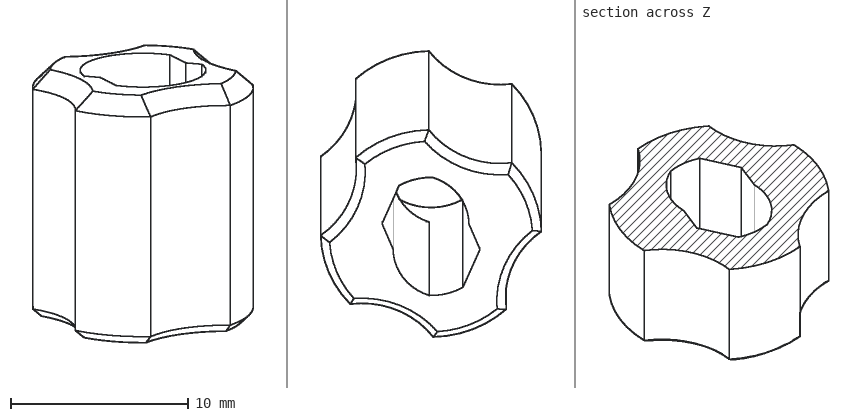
import cadquery as cq
import math

body_diameter = 12.47
body_height = 14.38
scallop_count = 4
scallop_radius = 5.0
scallop_center_distance = 10.0
top_chamfer = 1.0
bottom_chamfer = 0.5
full_turn = 360
scallop_start_angle = full_turn / scallop_count / 2

bore_radius = 7.1 / 2
entry_depth = 2.4
stop_face_distance = 2.85
stop_edge_y = 2.16
neck_half_width = 2.27
lobe_start_y = 0.1
lobe_side = (2.475, -0.9)
lobe_end_x = 1.42

overcut = 1.0


def on_bore(x):
    """Positive Y of the bore circle at the given X."""
    return math.sqrt(bore_radius**2 - x**2)


def opposite(point):
    """Point turned half a turn about the Z axis."""
    return (-point[0], -point[1])


stop_face_sum = stop_face_distance * math.sqrt(2)
stop_half_chord = math.sqrt(bore_radius**2 - stop_face_distance**2)
stop_face_start = (
    (stop_face_distance - stop_half_chord) / math.sqrt(2),
    (stop_face_distance + stop_half_chord) / math.sqrt(2),
)
stop_corner = (stop_face_sum - stop_edge_y, stop_edge_y)
stop_edge_end = (on_bore(stop_edge_y), stop_edge_y)


def make_body():
    body = cq.Workplane("XY").circle(body_diameter / 2).extrude(body_height)
    scallops = (
        cq.Workplane("XY")
        .polarArray(scallop_center_distance, scallop_start_angle, full_turn, scallop_count)
        .circle(scallop_radius)
        .extrude(body_height)
    )
    body = body.cut(scallops)
    body = body.faces(">Z").edges().chamfer(top_chamfer)
    return body.faces("<Z").edges().chamfer(bottom_chamfer)


def make_entry():
    """Round entry pocket whose two opposite stops are left standing."""
    arc_middle = (bore_radius / math.sqrt(2), -bore_radius / math.sqrt(2))
    return (
        cq.Workplane("XY")
        .workplane(offset=body_height - entry_depth)
        .moveTo(*stop_face_start)
        .lineTo(*stop_corner)
        .lineTo(*stop_edge_end)
        .threePointArc(arc_middle, opposite(stop_face_start))
        .lineTo(*opposite(stop_corner))
        .lineTo(*opposite(stop_edge_end))
        .threePointArc(opposite(arc_middle), stop_face_start)
        .close()
        .extrude(entry_depth + overcut)
    )


def make_opening():
    """Narrow bayonet opening, the same when turned half a turn, through the whole body."""
    neck_corner = (neck_half_width, stop_face_sum - neck_half_width)
    lobe_start = (neck_half_width, lobe_start_y)
    lobe_end = (lobe_end_x, -on_bore(lobe_end_x))
    bore_bottom = (0, -bore_radius)
    return (
        cq.Workplane("XY")
        .workplane(offset=-overcut)
        .moveTo(*stop_face_start)
        .lineTo(*neck_corner)
        .lineTo(*lobe_start)
        .threePointArc(lobe_side, lobe_end)
        .threePointArc(bore_bottom, opposite(stop_face_start))
        .lineTo(*opposite(neck_corner))
        .lineTo(*opposite(lobe_start))
        .threePointArc(opposite(lobe_side), opposite(lobe_end))
        .threePointArc(opposite(bore_bottom), stop_face_start)
        .close()
        .extrude(body_height + 2 * overcut)
    )


result = make_body().cut(make_entry()).cut(make_opening())